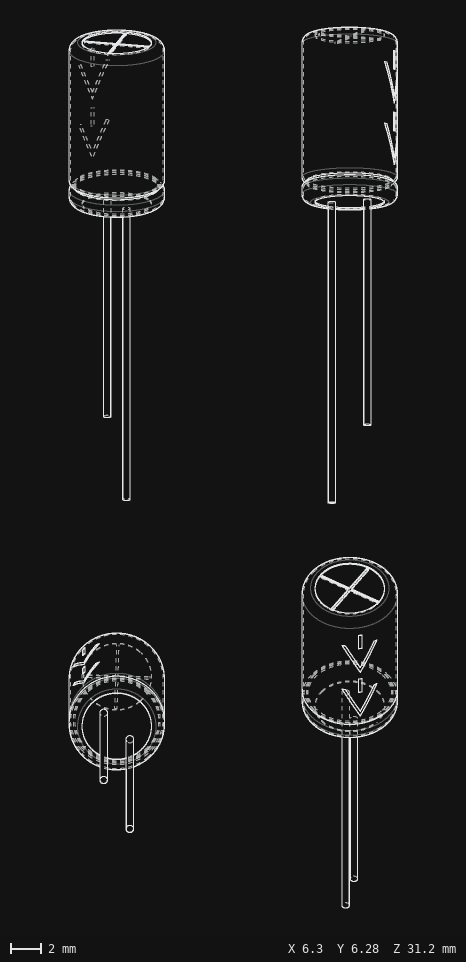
import cadquery as cq
import math

sleeve_diameter = 6.28
sleeve_height = 11.2
sleeve_wall = 0.1
sleeve_opening_diameter = 4.55
edge_radius = 0.55

groove_diameter = 5.7
groove_floor_width = 0.12
groove_height = 1.35

lead_diameter = 0.5
lead_pitch = 2.5
short_lead_length = 15.0
overall_length = 31.22
long_lead_length = overall_length - sleeve_height

cross_length = 4.37
cross_width = 0.15
cross_depth = 0.1
cross_angles = (45, -45)

mark_height = 0.015
mark_line_width = 0.2
mark_tops = (9.93, 5.8)
minus_length = 1.25
minus_width = 0.22
chevron_gap = 0.95
chevron_height = 2.55
chevron_width = 2.35

sleeve_radius = sleeve_diameter / 2
groove_depth = sleeve_radius - groove_diameter / 2
round_rise = 1 - math.sqrt(0.5)


def grooved_drum(inset):
    """Rounded drum with a crimp groove, lying `inset` inside the outer sleeve surface.

    The groove has a flat floor between two convex quarter rounds.
    """
    radius = sleeve_radius - inset
    bottom = inset
    top = sleeve_height - inset
    corner = edge_radius - inset
    corner_bulge = corner * round_rise
    groove_bulge = groove_depth * round_rise
    floor_radius = radius - groove_depth
    floor_low = groove_height - groove_floor_width / 2 - inset
    floor_high = groove_height + groove_floor_width / 2 + inset
    profile = (
        cq.Workplane("XZ")
        .moveTo(0, bottom)
        .lineTo(radius - corner, bottom)
        .threePointArc((radius - corner_bulge, bottom + corner_bulge), (radius, bottom + corner))
        .lineTo(radius, floor_low - groove_depth)
        .threePointArc((radius - groove_bulge, floor_low - groove_bulge), (floor_radius, floor_low))
        .lineTo(floor_radius, floor_high)
        .threePointArc(
            (radius - groove_bulge, floor_high + groove_bulge),
            (radius, floor_high + groove_depth),
        )
        .lineTo(radius, top - corner)
        .threePointArc((radius - corner_bulge, top - corner_bulge), (radius - corner, top))
        .lineTo(0, top)
        .close()
    )
    return profile.revolve(360, (0, 0, 0), (0, 1, 0))


def polarity_mark(top):
    """Minus bar above a downward chevron, raised slightly from the -X side of the sleeve."""
    chevron_top = top - chevron_gap
    chevron_tip = chevron_top - chevron_height
    half = chevron_width / 2
    arm_length = math.hypot(half, chevron_height)
    inner_half = half - mark_line_width * arm_length / chevron_height
    inner_tip = chevron_tip + mark_line_width * arm_length / half
    minus = (
        cq.Workplane("YZ")
        .center(0, top - minus_length / 2)
        .rect(minus_width, minus_length)
        .extrude(-sleeve_diameter)
    )
    chevron = (
        cq.Workplane("YZ")
        .polyline([
            (-half, chevron_top),
            (0, chevron_tip),
            (half, chevron_top),
            (inner_half, chevron_top),
            (0, inner_tip),
            (-inner_half, chevron_top),
        ])
        .close()
        .extrude(-sleeve_diameter)
    )
    skin = (
        cq.Workplane("XY")
        .circle(sleeve_radius + mark_height)
        .circle(sleeve_radius - sleeve_wall / 2)
        .extrude(sleeve_height)
    )
    return minus.union(chevron).intersect(skin)


def make_sleeve():
    """Thin shell around the can, open at both ends, with raised polarity marks."""
    opening = cq.Workplane("XY").circle(sleeve_opening_diameter / 2).extrude(sleeve_height)
    sleeve = grooved_drum(0).cut(grooved_drum(sleeve_wall)).cut(opening)
    for top in mark_tops:
        sleeve = sleeve.union(polarity_mark(top))
    return sleeve


def lead(x, length):
    """Round wire meeting the can bottom at `x` and reaching `length` below the seating plane."""
    return (
        cq.Workplane("XY", origin=(x, 0, -length))
        .circle(lead_diameter / 2)
        .extrude(length + sleeve_wall)
    )


def vent_cross():
    """Crossed score lines in the can top, both slanted to the X axis."""
    cross = cq.Workplane("XY")
    for angle in cross_angles:
        bar = (
            cq.Workplane("XY", origin=(0, 0, sleeve_height - sleeve_wall - cross_depth))
            .rect(cross_length, cross_width)
            .extrude(cross_depth)
            .rotate((0, 0, 0), (0, 0, 1), angle)
        )
        cross = cross.add(bar)
    return cross.combine()


def make_capacitor():
    """Can with its score cross and its two leads, the longer one on the +X side."""
    can = grooved_drum(sleeve_wall).cut(vent_cross())
    can = can.union(lead(-lead_pitch / 2, short_lead_length))
    return can.union(lead(lead_pitch / 2, long_lead_length))


sleeve = make_sleeve()
capacitor = make_capacitor()
result = cq.Compound.makeCompound([sleeve.val(), capacitor.val()])